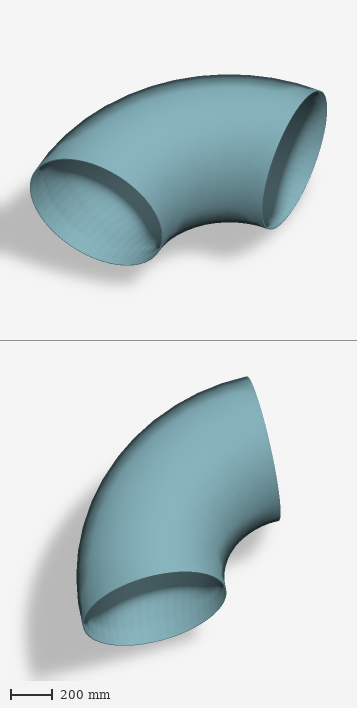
import cadquery as cq

overall_size = 1067.0
outer_diameter = overall_size / 1.5
bend_radius = outer_diameter
wall_thickness = 5.0
bend_angle = 90

inner_diameter = outer_diameter - 2 * wall_thickness

pipe_section = (
    cq.Workplane("XZ")
    .circle(outer_diameter / 2)
    .circle(inner_diameter / 2)
)

bend_axis_start = (bend_radius, 0, 0)
bend_axis_end = (bend_radius, -1, 0)
result = pipe_section.revolve(bend_angle, bend_axis_start, bend_axis_end)